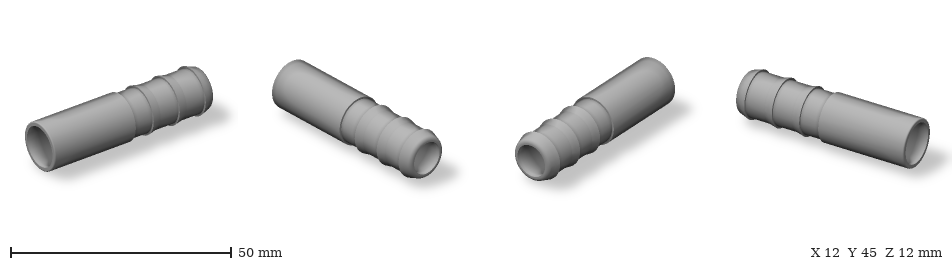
import cadquery as cq
import math

total_length = 45.0
sleeve_radius = 6.0
sleeve_length = 22.5
sleeve_rounding = 0.3
stem_radius = 5.5

barb_radius = sleeve_radius
barb_length = 2.25
barb_pitch = 7.25
barb_count = 2

tip_length = 3.0
tip_half_angle = math.radians(18.0)
tip_end_radius = barb_radius - tip_length * math.tan(tip_half_angle)
tip_rounding = 1.0

bore_inlet_radius = 5.0
bore_outlet_radius = 4.0
bore_cone_half_angle = math.radians(60.0)
bore_cone_length = (bore_inlet_radius - bore_outlet_radius) / math.tan(bore_cone_half_angle)

inlet_y = -total_length / 2
outlet_y = inlet_y + total_length
sleeve_end_y = inlet_y + sleeve_length
tip_shoulder_y = outlet_y - tip_length


def revolve_about_y(profile_points):
    """Turn a closed (radius, y) profile into a solid around the Y axis."""
    profile = cq.Workplane("XY").polyline(profile_points).close()
    return profile.revolve(360, (0, 0, 0), (0, 1, 0))


def make_cylinder(radius, start_y, end_y):
    return revolve_about_y([(0, start_y), (radius, start_y), (radius, end_y), (0, end_y)])


def make_cone(start_radius, start_y, end_radius, end_y):
    return revolve_about_y([(0, start_y), (start_radius, start_y), (end_radius, end_y), (0, end_y)])


def make_bore():
    cone_start_y = sleeve_end_y - bore_cone_length
    bore = make_cylinder(bore_inlet_radius, inlet_y, cone_start_y)
    bore = bore.union(make_cone(bore_inlet_radius, cone_start_y, bore_outlet_radius, sleeve_end_y))
    return bore.union(make_cylinder(bore_outlet_radius, sleeve_end_y, outlet_y))


def make_sleeve():
    sleeve = make_cylinder(sleeve_radius, inlet_y, sleeve_end_y)
    return sleeve.faces("<Y").edges().fillet(sleeve_rounding)


def make_tip():
    tip = make_cone(barb_radius, tip_shoulder_y, tip_end_radius, outlet_y)
    return tip.faces(">Y").edges().fillet(tip_rounding)


body = make_sleeve()
body = body.union(make_cylinder(stem_radius, sleeve_end_y, tip_shoulder_y))
body = body.union(make_tip())
for barb_number in range(1, barb_count + 1):
    shoulder_y = tip_shoulder_y - barb_number * barb_pitch
    body = body.union(make_cone(barb_radius, shoulder_y, stem_radius, shoulder_y + barb_length))

result = body.cut(make_bore())